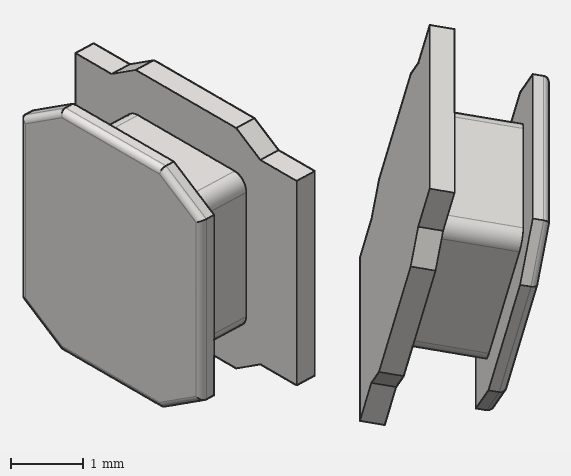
import cadquery as cq

length = 4.4
depth = 1.8
height = 4.0

front_width = 3.6
front_thickness = 0.25
flat_width = 1.998
flat_height = 3.0
edge_radius = 0.1

back_thickness = 0.35
back_plate_height = 3.4

core_width = 2.4
core_height = 2.54
core_radius = 0.238
core_depth = depth - front_thickness - back_thickness

corner_slope = (front_width - flat_width) / (height - flat_height)
back_raised_width = flat_width + corner_slope * (height - back_plate_height)


def mirrored_prism(quarter_points, y_start, thickness):
    """Extrude along +Y an outline given by its +X +Z quarter, from top to side."""
    right = quarter_points + [(x, -z) for x, z in reversed(quarter_points)]
    left = [(-x, z) for x, z in reversed(right)]
    return (
        cq.Workplane("XZ", origin=(0, y_start, 0))
        .polyline(right + left)
        .close()
        .extrude(-thickness)
    )


def make_front_flange():
    quarter = [(flat_width / 2, height / 2), (front_width / 2, flat_height / 2)]
    flange = mirrored_prism(quarter, -depth / 2, front_thickness)
    return flange.faces("<Y").edges().fillet(edge_radius)


def make_core():
    return (
        cq.Workplane("XZ", origin=(0, -depth / 2 + front_thickness, 0))
        .rect(core_width, core_height)
        .extrude(-(core_depth + back_thickness))
        .edges("|Y")
        .fillet(core_radius)
    )


def make_back_flange():
    quarter = [
        (flat_width / 2, height / 2),
        (back_raised_width / 2, back_plate_height / 2),
        (length / 2, back_plate_height / 2),
    ]
    return mirrored_prism(quarter, depth / 2 - back_thickness, back_thickness)


result = make_front_flange().union(make_core()).union(make_back_flange())